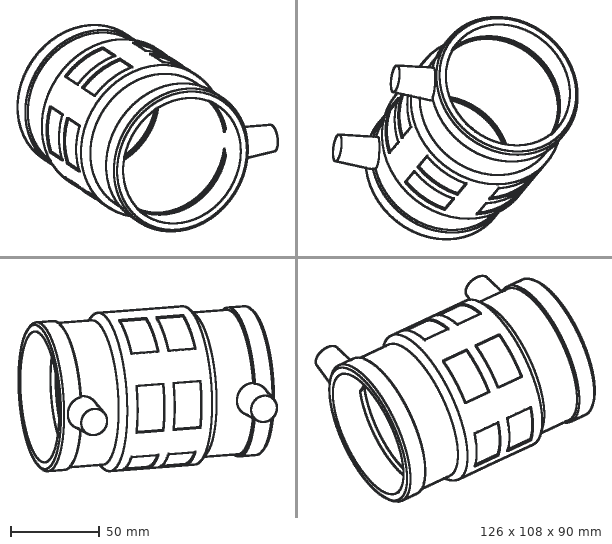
import cadquery as cq

length = 126.0
bore_radius = 74.2 / 2
neck_radius = 82.0 / 2
collar_radius = 84.5 / 2
body_radius = 90.0 / 2

end_chamfer = 1.4
collar_length = 11.3
collar_step = 0.8
neck_end = 34.0
body_start = 37.9

window_count = 6
window_angle = 35.4
window_width = 15.9
window_gap = 6.0
window_depth = 0.9
window_overcut = 1.3

groove_radius = 75.0 / 2
groove_inset = 17.9
groove_width = 3.0

terminal_inset = 12.7
terminal_top = 63.0
root_overlap = 1.9
terminal_root = bore_radius - root_overlap
terminal_tip_radius = 7.7
terminal_root_radius = 9.7

half_length = length / 2


def make_shell():
    """Outer sleeve profile revolved about X, still solid."""
    left = [
        (-half_length, collar_radius - end_chamfer),
        (-half_length + end_chamfer, collar_radius),
        (-half_length + collar_length, collar_radius),
        (-half_length + collar_length + collar_step, neck_radius),
        (-half_length + neck_end, neck_radius),
        (-half_length + body_start, body_radius),
    ]
    right = [(-x, r) for x, r in reversed(left)]
    outline = [(-half_length, 0)] + left + right + [(half_length, 0)]
    return cq.Workplane("XY").polyline(outline).close().revolve(360, (0, 0), (1, 0))


def make_cylinder(radius, x_start, width):
    """Cylinder on the X axis, growing toward +X from x_start."""
    return cq.Workplane("YZ", origin=(x_start, 0, 0)).circle(radius).extrude(width)


def make_groove(side):
    """Disc that cuts the ring groove near one end of the bore."""
    x_centre = side * (half_length - groove_inset - groove_width / 2)
    return make_cylinder(groove_radius, x_centre - groove_width / 2, groove_width)


def make_window(x_centre, angle):
    """Curved cutter for one window, centred at the given angle from +Y."""
    floor_radius = body_radius - window_depth
    cutter_radius = body_radius + window_overcut
    axis_offset = -(floor_radius + cutter_radius) / 2
    sector = (
        cq.Workplane("XY")
        .center(x_centre, -axis_offset)
        .rect(window_width, cutter_radius - floor_radius)
        .revolve(window_angle, (-1.3, axis_offset), (1.3, axis_offset))
    )
    return sector.rotate((0, 0, 0), (1, 0, 0), angle - window_angle / 2)


def make_terminal(x_centre):
    """Tapered post pointing along +Y."""
    post = cq.Solid.makeCone(
        terminal_root_radius,
        terminal_tip_radius,
        terminal_top - terminal_root,
        pnt=cq.Vector(x_centre, terminal_root, 0),
        dir=cq.Vector(0, 1, 0),
    )
    return cq.Workplane(post)


result = make_shell()
for side in (-1, 1):
    result = result.cut(make_groove(side))
    result = result.union(make_terminal(side * (half_length - terminal_inset)))
    for index in range(window_count):
        window_x = side * (window_gap + window_width) / 2
        result = result.cut(make_window(window_x, index * 360 / window_count))
result = result.cut(make_cylinder(bore_radius, -half_length, length))